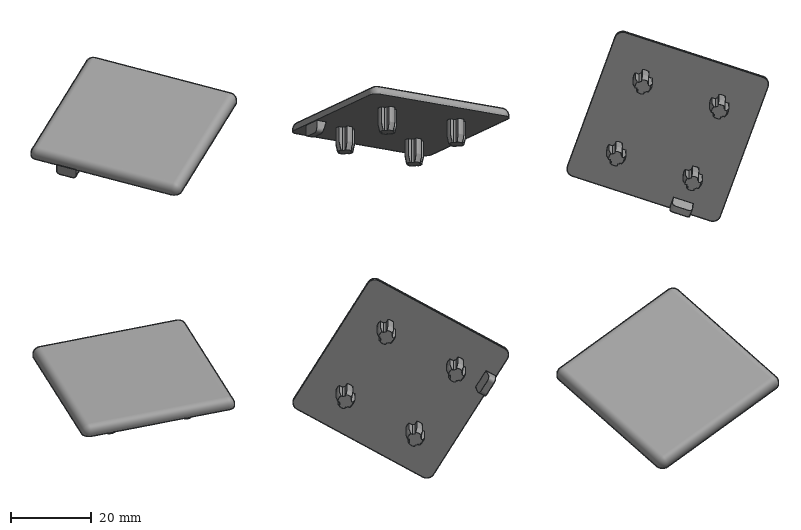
import cadquery as cq

plate_side = 40.0
edge_radius = 2.0
rim_height = 0.5
plate_thickness = rim_height + edge_radius
plate_half = plate_side / 2

peg_length = 6.0
peg_pitch = 20.0
peg_radius = 2.35
peg_tip_radius = 1.9
peg_taper_length = 2.0
peg_core_radius = 1.5
peg_rib_width = 1.65

tab_x = -peg_pitch / 2
tab_width = 5.2
tab_height = 3.0
tab_edge_inset = 0.2
tab_root_depth = 2.75
tab_tip_depth = 1.7
tab_corner_radius = 1.0


def make_plate():
    """Square plate, underside on Z = 0, with corners and top rim rounded."""
    block = cq.Workplane("XY").box(plate_side, plate_side, plate_thickness, centered=(True, True, False))
    return block.edges("|Z").fillet(edge_radius).faces(">Z").edges().fillet(edge_radius)


def make_peg():
    """Cross-ribbed peg on the Z axis, hanging down from Z = 0."""
    taper_start_z = -(peg_length - peg_taper_length)
    envelope = (
        cq.Workplane("XZ")
        .moveTo(0, 0)
        .lineTo(peg_radius, 0)
        .lineTo(peg_radius, taper_start_z)
        .lineTo(peg_tip_radius, -peg_length)
        .lineTo(0, -peg_length)
        .close()
        .revolve(360, (0, 0, 0), (0, 1, 0))
    )
    core = cq.Workplane("XY").circle(peg_core_radius).extrude(-peg_length)
    rib_span = 2 * peg_radius
    rib_along_x = cq.Workplane("XY").rect(rib_span, peg_rib_width).extrude(-peg_length)
    rib_along_y = cq.Workplane("XY").rect(peg_rib_width, rib_span).extrude(-peg_length)
    return core.union(rib_along_x).union(rib_along_y).intersect(envelope)


def make_tab():
    """Tab with an upright outer face, a sloping inner face and rounded lower corners."""
    outer_y = -plate_half + tab_edge_inset
    profile = [
        (outer_y, 0),
        (outer_y + tab_root_depth, 0),
        (outer_y + tab_tip_depth, -tab_height),
        (outer_y, -tab_height),
    ]
    wedge = cq.Workplane("YZ").polyline(profile).close().extrude(tab_width / 2, both=True)
    rounded = wedge.faces("<Z").edges("|Y").fillet(tab_corner_radius)
    return rounded.translate((tab_x, 0, 0))


result = make_plate().union(make_tab())
peg = make_peg()
for x in (-peg_pitch / 2, peg_pitch / 2):
    for y in (-peg_pitch / 2, peg_pitch / 2):
        result = result.union(peg.translate((x, y, 0)))